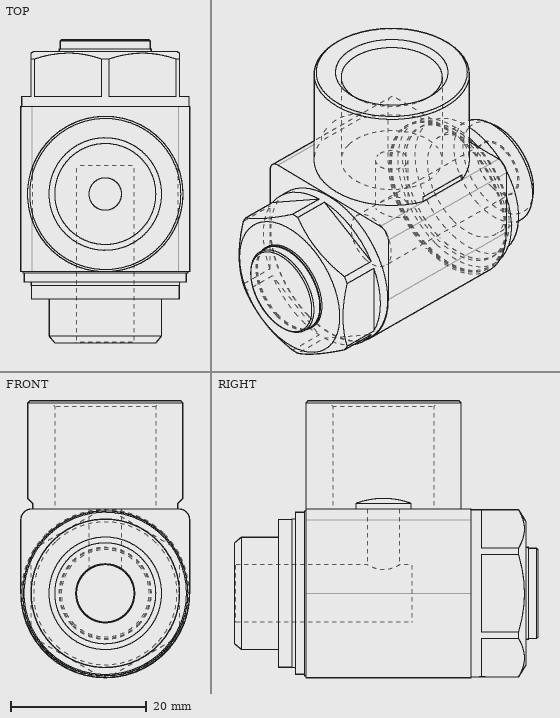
import cadquery as cq
import math

overall_length = 44.9
overall_height = 41.0

port_diameter = 23.0
port_radius = port_diameter / 2

body_width = 25.0
body_radius = body_width / 2
body_top = body_radius
body_back = 12.95
body_front = -port_radius
body_edge_radius = 1.65

port_top = overall_height - body_radius
port_rim_chamfer = 0.3
port_bore_diameter = 14.95
port_mouth_diameter = 16.65
port_mouth_chamfer = (port_mouth_diameter - port_bore_diameter) / 2
port_floor = body_top
port_flat_spacing = 21.5
port_flat_height = 0.8

washer_diameter = 24.8
nut_front = 14.45
nut_back = 21.1
nut_sides = 6
nut_across_flats = 22.0
nut_corner_diameter = washer_diameter
nut_face_diameter = 21.2
nut_bevel_length = 1.12
stud_diameter = 13.4
stud_back = 22.85
stud_chamfer = 0.22
stud_shoulder_diameter = 13.65
stud_shoulder_length = 0.3

ring_diameter = 24.0
lip_diameter = 24.43
lip_length = 0.22
ring_front = -13.0
neck_diameter = 22.0
neck_front = -13.55
collar_diameter = 21.9
collar_front = -15.55
spigot_diameter = 16.65
spigot_end_diameter = 14.95
spigot_chamfer_length = 1.05
spigot_front = stud_back - overall_length

run_bore_diameter = 8.5
run_bore_chamfer = 0.15
run_bore_back = run_bore_diameter / 2
cross_hole_diameter = 4.8


def run_cylinder(diameter, front, back):
    """Cylinder on the Y axis between two Y positions."""
    return cq.Workplane("XZ", origin=(0, back, 0)).circle(diameter / 2).extrude(back - front)


def port_cylinder(diameter, bottom, top):
    """Cylinder on the Z axis between two Z positions."""
    return cq.Workplane("XY", origin=(0, 0, bottom)).circle(diameter / 2).extrude(top - bottom)


def make_body():
    """Block with a half-round underside and rounded upper edges."""
    return (
        cq.Workplane("XZ", origin=(0, body_back, 0))
        .moveTo(-body_radius, 0)
        .threePointArc((0, -body_radius), (body_radius, 0))
        .lineTo(body_radius, body_top)
        .lineTo(-body_radius, body_top)
        .close()
        .extrude(body_back - body_front)
        .edges("|Y and >Z")
        .fillet(body_edge_radius)
    )


def make_port():
    """Upright port cylinder, relieved on both X sides just above the body."""
    port = port_cylinder(port_diameter, 0, port_top).faces(">Z").edges().chamfer(port_rim_chamfer)
    flat_x = port_flat_spacing / 2
    flat_depth = port_radius - flat_x
    flat_top = body_top + port_flat_height
    relief = (
        cq.Workplane("XZ")
        .moveTo(flat_x, 0)
        .lineTo(flat_x, flat_top)
        .lineTo(port_radius, flat_top + flat_depth)
        .lineTo(port_radius, 0)
        .close()
        .extrude(port_radius, both=True)
    )
    return port.cut(relief).cut(relief.mirror("YZ"))


def make_nut():
    """Hexagon nut with corners pointing up and down, turned and bevelled at the back."""
    corner_to_corner = nut_across_flats / math.cos(math.pi / nut_sides)
    hexagon = (
        cq.Workplane("XZ", origin=(0, nut_back, 0))
        .transformed(rotate=(0, 0, 90))
        .polygon(nut_sides, corner_to_corner)
        .extrude(nut_back - nut_front)
    )
    bevel_width = (nut_corner_diameter - nut_face_diameter) / 2
    turned = (
        run_cylinder(nut_corner_diameter, nut_front, nut_back)
        .faces(">Y")
        .chamfer(nut_bevel_length, bevel_width)
    )
    return hexagon.intersect(turned)


def make_stud_end():
    """Stud end with a low shoulder where it leaves the nut."""
    stud = run_cylinder(stud_diameter, nut_front, stud_back).faces(">Y").chamfer(stud_chamfer)
    shoulder = run_cylinder(stud_shoulder_diameter, nut_front, nut_back + stud_shoulder_length)
    return stud.union(shoulder)


def make_spigot():
    """Lip, seal ring, collar and chamfered spigot, stepping down toward the front."""
    ring = run_cylinder(ring_diameter, ring_front, body_front)
    lip = run_cylinder(lip_diameter, body_front - lip_length, body_front)
    neck = run_cylinder(neck_diameter, neck_front, body_front)
    collar = run_cylinder(collar_diameter, collar_front, body_front)
    chamfer_width = (spigot_diameter - spigot_end_diameter) / 2
    spigot = (
        run_cylinder(spigot_diameter, spigot_front, body_front)
        .faces("<Y")
        .chamfer(spigot_chamfer_length, chamfer_width)
    )
    return ring.union(lip).union(neck).union(collar).union(spigot)


def make_passages():
    """Port bore and run bore with their countersinks, and the cross hole joining them."""
    port_bore = port_cylinder(port_bore_diameter, port_floor, port_top)
    port_mouth = cq.Workplane(
        cq.Solid.makeCone(
            port_bore_diameter / 2,
            port_mouth_diameter / 2,
            port_mouth_chamfer,
            pnt=cq.Vector(0, 0, port_top - port_mouth_chamfer),
        )
    )
    run_bore = run_cylinder(run_bore_diameter, spigot_front, run_bore_back)
    run_mouth = cq.Workplane(
        cq.Solid.makeCone(
            run_bore_diameter / 2 + run_bore_chamfer,
            run_bore_diameter / 2,
            run_bore_chamfer,
            pnt=cq.Vector(0, spigot_front, 0),
            dir=cq.Vector(0, 1, 0),
        )
    )
    cross_hole = port_cylinder(cross_hole_diameter, 0, port_floor)
    return port_bore.union(port_mouth).union(run_bore).union(run_mouth).union(cross_hole)


washer = run_cylinder(washer_diameter, body_back, nut_front)
result = (
    make_body()
    .union(make_port())
    .union(washer)
    .union(make_nut())
    .union(make_stud_end())
    .union(make_spigot())
    .cut(make_passages())
)